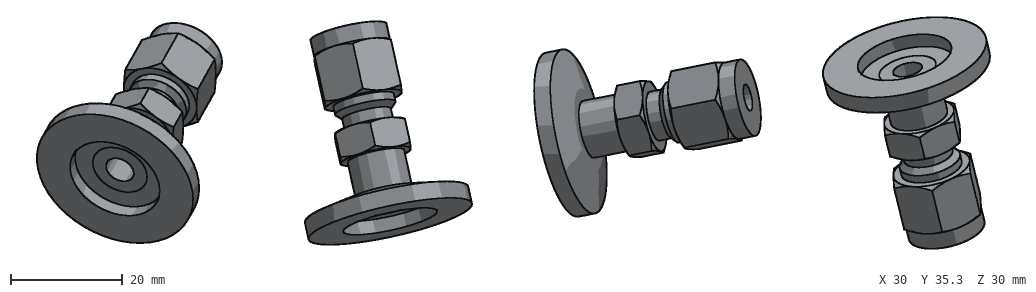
import cadquery as cq
import math


flange_diameter = 30.0
flange_rim_thickness = 3.1
flange_thickness = 5.0
flange_cone_diameter = 15.0
recess_diameter = 17.2
recess_depth = 2.5

tube_diameter = 10.4
small_hex_width = 12.78
shank_diameter = 8.95
collar_diameter = 11.12
nut_width = 13.98

small_hex_start = 12.15
small_hex_end = 17.58
shank_end = 20.05
collar_start = shank_end + (collar_diameter - shank_diameter) / 2
nut_hex_start = 22.6
nut_hex_end = 32.23
fitting_end = 35.3

tube_bore_diameter = 5.33
fitting_bore_diameter = 4.8

hex_chamfer_angle = 30.0


def revolve_about_y(profile_points):
    """Revolve a closed (radius, station) outline about the Y axis."""
    return cq.Workplane("XY").polyline(profile_points).close().revolve(360, (0, 0), (0, 1))


def cylinder(diameter, start, end):
    """Cylinder on the Y axis between two stations."""
    radius = diameter / 2
    return revolve_about_y([(0, start), (radius, start), (radius, end), (0, end)])


def chamfered_hex(width, start, end):
    """Hexagon with flats square to X and conical chamfers on the corners at both ends."""
    flat_radius = width / 2
    corner_radius = flat_radius / math.cos(math.pi / 6)
    chamfer = (corner_radius - flat_radius) * math.tan(math.radians(hex_chamfer_angle))
    prism = (
        cq.Workplane("XZ", origin=(0, start, 0))
        .transformed(rotate=(0, 0, 90))
        .polygon(6, 2 * corner_radius)
        .extrude(start - end)
    )
    envelope = revolve_about_y([
        (0, start),
        (flat_radius, start),
        (corner_radius, start + chamfer),
        (corner_radius, end - chamfer),
        (flat_radius, end),
        (0, end),
    ])
    return prism.intersect(envelope)


def make_flange():
    """Conical-backed flange with a front recess and a through hole for the tube."""
    return revolve_about_y([
        (recess_diameter / 2, 0),
        (flange_diameter / 2, 0),
        (flange_diameter / 2, flange_rim_thickness),
        (flange_cone_diameter / 2, flange_thickness),
        (tube_diameter / 2, flange_thickness),
        (tube_diameter / 2, recess_depth),
        (recess_diameter / 2, recess_depth),
    ])


def make_fitting():
    """Tube, hexagon, shank, flared collar and nut with a stepped through bore."""
    tube = cylinder(tube_diameter, recess_depth, small_hex_start)
    small_hex = chamfered_hex(small_hex_width, small_hex_start, small_hex_end)
    shank_and_collar = revolve_about_y([
        (0, small_hex_end),
        (shank_diameter / 2, small_hex_end),
        (shank_diameter / 2, shank_end),
        (collar_diameter / 2, collar_start),
        (collar_diameter / 2, nut_hex_start),
        (0, nut_hex_start),
    ])
    nut_hex = chamfered_hex(nut_width, nut_hex_start, nut_hex_end)
    nut_end = cylinder(nut_width, nut_hex_end, fitting_end)
    tube_bore = cylinder(tube_bore_diameter, recess_depth, small_hex_start)
    fitting_bore = cylinder(fitting_bore_diameter, small_hex_start, fitting_end)
    outside = tube.union(small_hex).union(shank_and_collar).union(nut_hex).union(nut_end)
    return outside.cut(tube_bore).cut(fitting_bore)


flange = make_flange()
fitting = make_fitting()

result = cq.Compound.makeCompound([flange.val(), *fitting.solids().vals()])